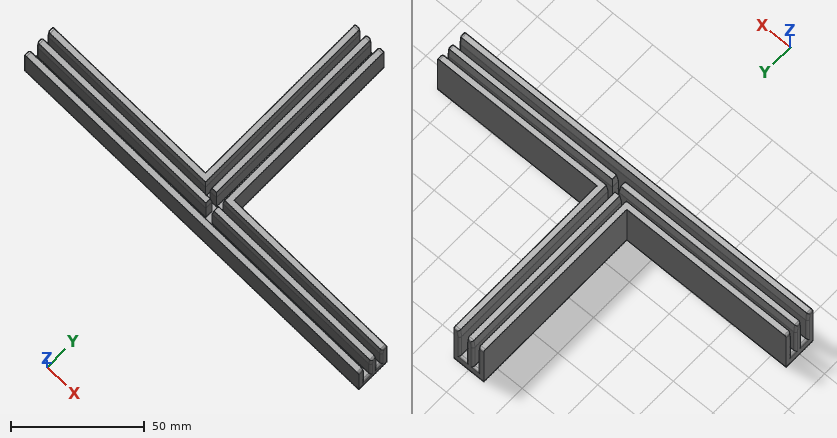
import cadquery as cq

bar_length = 175.0
total_depth = 95.0
height = 25.0
arm_width = 15.0

outer_wall = 3.0
wide_slot = 3.3
narrow_slot = 2.3
floor_thickness = 5.0
flare_height = 5.0
flare = 0.5
end_radius = 1.0

half_length = bar_length / 2
half_arm = arm_width / 2
flare_bottom = height - flare_height
slot_reach = half_arm - outer_wall
wide_slot_center = slot_reach - wide_slot / 2
narrow_slot_center = slot_reach - narrow_slot / 2
bar_wide_y = half_arm - wide_slot_center
bar_narrow_y = half_arm + narrow_slot_center


def make_body():
    """T-shaped block: a bar along X with its front face at Y = 0, and a stem along +Y."""
    bar = cq.Workplane("XY").box(bar_length, arm_width, height, centered=(True, False, False))
    stem = cq.Workplane("XY").box(arm_width, total_depth, height, centered=(True, False, False))
    return bar.union(stem)


def slot_profile(plane, center, width):
    """Slot cross-section: straight sides from the floor, flaring out towards the top."""
    half = width / 2
    return (
        cq.Workplane(plane)
        .moveTo(center - half, floor_thickness)
        .lineTo(center + half, floor_thickness)
        .lineTo(center + half, flare_bottom)
        .lineTo(center + half + flare, height)
        .lineTo(center - half - flare, height)
        .lineTo(center - half, flare_bottom)
        .close()
    )


def bar_slot(center_y, width):
    """Slot running through the full length of the bar."""
    return slot_profile("YZ", center_y, width).extrude(half_length, both=True)


def stem_slot(center_x, width, start_y):
    """Slot running from start_y out through the end of the stem."""
    return slot_profile("XZ", center_x, width).extrude(start_y - total_depth).translate((0, start_y, 0))


def round_arm_end(body, end_face, outer_edges):
    """Round the top and slot edges of one arm end, leaving its outer_edges sharp."""
    return body.faces(end_face).edges(f"not ({outer_edges})").fillet(end_radius)


result = make_body()
result = result.cut(bar_slot(bar_wide_y, wide_slot))
result = result.cut(bar_slot(bar_narrow_y, narrow_slot))
result = result.cut(stem_slot(wide_slot_center, wide_slot, bar_wide_y))
result = result.cut(stem_slot(-narrow_slot_center, narrow_slot, bar_narrow_y))

result = round_arm_end(result, "<X", "<Y or >Y or <Z")
result = round_arm_end(result, ">X", "<Y or >Y or <Z")
result = round_arm_end(result, ">Y", "<X or >X or <Z")